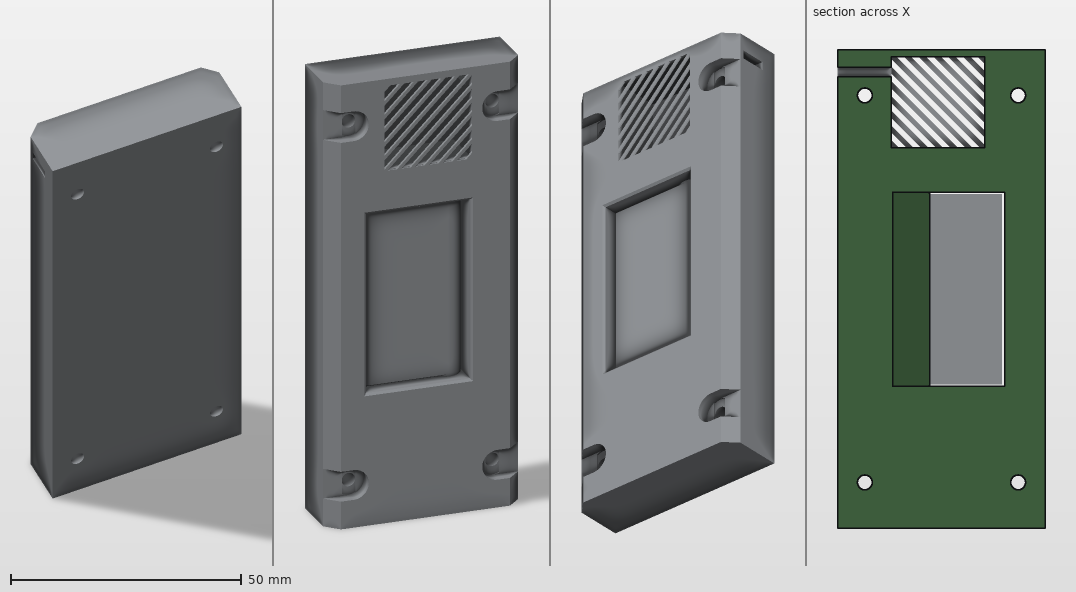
import cadquery as cq
CASE_LENGTH = 104.0
CASE_WIDTH = 45.2
CASE_THICKNESS = 14.4
JOINT_X = CASE_THICKNESS / 2
BACK_WALL = 3.0
CAVITY_FLOOR_X = CASE_THICKNESS - BACK_WALL
EDGE_CHAMFER = 3.0
CHAMFER_ANGLE = 45.0
OVERCUT = 1.0

SCREW_HOLE_DIAMETER = 3.1
SCREW_Y = 16.6
SCREW_END_DISTANCE = 10.0
HEAD_RECESS_WIDTH = 7.0
HEAD_RECESS_DEPTH = EDGE_CHAMFER
BRIDGE_STEP_DEPTH = 0.3

WELL_WIDTH = 24.2
WELL_HEIGHT = 42.0
WELL_Y = 1.6
WELL_Z = 51.9
WINDOW_CHAMFER = 0.5

BARREL_DIAMETER = 8.0
BARREL_RADIUS = BARREL_DIAMETER / 2
BARREL_Y = WELL_Y - WELL_WIDTH / 2 + BARREL_RADIUS
FLAP_SIDE_GAP = 0.5
FLAP_END_GAP = 0.3
FLAP_CHAMFER = 0.25

GRILLE_WIDTH = 20.4
GRILLE_HEIGHT = 19.9
GRILLE_Y = -0.6
GRILLE_Z = 92.5
GRILLE_THICKNESS = 0.3
CHAMBER_LEDGE = 0.2
SLOT_COUNT = 12
SLOT_WIDTH = 1.1
SLOT_ANGLE = 45.0
SLOT_CHAMFER = 0.2
SLOT_RIM_WIDTH = SLOT_WIDTH + 2 * SLOT_CHAMFER
GRILLE_BAR_WIDTH = 0.7
SLOT_PITCH = SLOT_RIM_WIDTH + GRILLE_BAR_WIDTH

PORT_WIDTH = 6.2
PORT_HEIGHT = 2.0
PORT_Z = 99.1


def block(x_range, y_range, z_range):
    """Box given by its lower and upper limits along each axis."""
    limits = (x_range, y_range, z_range)
    sizes = [high - low for low, high in limits]
    corner = tuple(low for low, high in limits)
    return cq.Workplane("XY").box(*sizes, centered=False).translate(corner)


def around(centre, size):
    """Lower and upper limits of a span centred on a point."""
    return (centre - size / 2, centre + size / 2)


def facing_plane(x):
    """Workplane at depth x: local x is Y, local y is Z, and the normal is +X."""
    return cq.Workplane("YZ", origin=(x, 0, 0))


def screw_places():
    """(side, z) of the four screws; side is -1 or +1 along Y."""
    heights = (SCREW_END_DISTANCE, CASE_LENGTH - SCREW_END_DISTANCE)
    return [(side, z) for side in (-1, 1) for z in heights]


def screw_holes():
    centres = [(side * SCREW_Y, z) for side, z in screw_places()]
    return facing_plane(0).pushPoints(centres).circle(SCREW_HOLE_DIAMETER / 2).extrude(CASE_THICKNESS)


def head_recess(side, z):
    """Round-ended recess open to the long side, with a bridging step across its floor."""
    y = side * SCREW_Y
    total_depth = HEAD_RECESS_DEPTH + BRIDGE_STEP_DEPTH
    cylinder = facing_plane(0).center(y, z).circle(HEAD_RECESS_WIDTH / 2).extrude(total_depth)
    recess = cylinder.intersect(
        block((0, HEAD_RECESS_DEPTH), around(y, HEAD_RECESS_WIDTH), around(z, HEAD_RECESS_WIDTH))
    )
    step = cylinder.intersect(
        block((0, total_depth), around(y, SCREW_HOLE_DIAMETER), around(z, HEAD_RECESS_WIDTH))
    )
    channel = block((0, HEAD_RECESS_DEPTH), sorted((y, side * CASE_WIDTH / 2)), around(z, HEAD_RECESS_WIDTH))
    return recess.union(channel).union(step)


def button_well():
    return block((0, CAVITY_FLOOR_X), around(WELL_Y, WELL_WIDTH), around(WELL_Z, WELL_HEIGHT))


def window_bevel():
    """Tapered cutter that chamfers the rim of the window."""
    rim_width = WELL_WIDTH + 2 * WINDOW_CHAMFER
    rim_height = WELL_HEIGHT + 2 * WINDOW_CHAMFER
    rim = facing_plane(0).center(WELL_Y, WELL_Z).rect(rim_width, rim_height)
    return rim.extrude(WINDOW_CHAMFER, taper=CHAMFER_ANGLE)


def grille_slots():
    """Diagonal slots with chamfered rims, trimmed to the rectangle of the grille."""
    slot_length = GRILLE_WIDTH + GRILLE_HEIGHT
    first_offset = -SLOT_PITCH * (SLOT_COUNT - 1) / 2
    centres = [(0, first_offset + index * SLOT_PITCH) for index in range(SLOT_COUNT)]
    rows = cq.Workplane("YZ").pushPoints(centres)
    throats = rows.rect(slot_length, SLOT_WIDTH).extrude(GRILLE_THICKNESS)
    rims = rows.rect(slot_length, SLOT_RIM_WIDTH).extrude(SLOT_CHAMFER, taper=CHAMFER_ANGLE)
    slots = throats.union(rims)
    slots = slots.rotate((0, 0, 0), (1, 0, 0), -SLOT_ANGLE).translate((0, GRILLE_Y, GRILLE_Z))
    frame = block((0, GRILLE_THICKNESS), around(GRILLE_Y, GRILLE_WIDTH), around(GRILLE_Z, GRILLE_HEIGHT))
    return slots.intersect(frame)


def speaker_chamber():
    """Chamber behind the grille; it leaves a narrow ledge on the +Y and -Z sides."""
    y_min, y_max = around(GRILLE_Y, GRILLE_WIDTH)
    z_min, z_max = around(GRILLE_Z, GRILLE_HEIGHT)
    return block(
        (GRILLE_THICKNESS, CAVITY_FLOOR_X),
        (y_min, y_max - CHAMBER_LEDGE),
        (z_min + CHAMBER_LEDGE, z_max),
    )


def cable_port():
    """Opening from the -Y side into the speaker chamber."""
    return block(
        around(JOINT_X, PORT_WIDTH),
        (-CASE_WIDTH / 2 - OVERCUT, GRILLE_Y),
        around(PORT_Z, PORT_HEIGHT),
    )


def make_front_half():
    half = block((0, JOINT_X), around(0, CASE_WIDTH), (0, CASE_LENGTH))
    half = half.faces("<X").edges("|Z").chamfer(EDGE_CHAMFER)
    for side, z in screw_places():
        half = half.cut(head_recess(side, z))
    half = half.cut(screw_holes()).cut(button_well()).cut(window_bevel())
    return half.cut(speaker_chamber()).cut(grille_slots()).cut(cable_port())


def make_back_half():
    half = block((JOINT_X, CASE_THICKNESS), around(0, CASE_WIDTH), (0, CASE_LENGTH))
    half = half.cut(screw_holes()).cut(button_well())
    return half.cut(speaker_chamber()).cut(cable_port())


def make_button():
    barrel = cq.Workplane("XY", origin=(JOINT_X, BARREL_Y, WELL_Z - WELL_HEIGHT / 2))
    barrel = barrel.circle(BARREL_RADIUS).extrude(WELL_HEIGHT)
    flap = block(
        (JOINT_X - BARREL_RADIUS, JOINT_X),
        (BARREL_Y, WELL_Y + WELL_WIDTH / 2 - FLAP_SIDE_GAP),
        around(WELL_Z, WELL_HEIGHT - 2 * FLAP_END_GAP),
    )
    flap = flap.faces("<X").edges(">Y or <Z or >Z").chamfer(FLAP_CHAMFER)
    return barrel.union(flap)


front_half = make_front_half()
back_half = make_back_half()
button = make_button()

result = cq.Compound.makeCompound([front_half.val(), back_half.val(), button.val()])